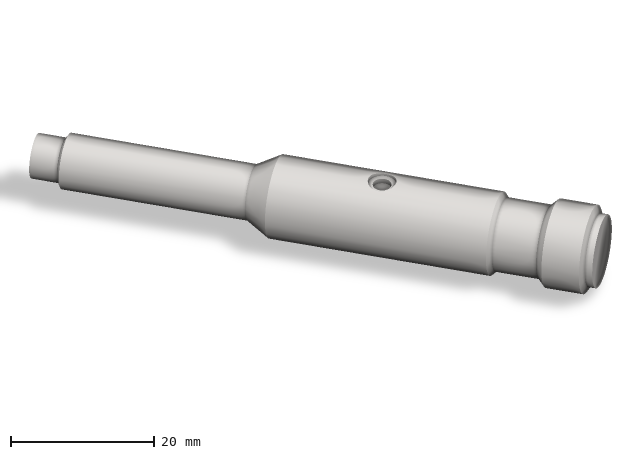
import cadquery as cq

length = 82.0
nose_diameter = 6.5
stem_diameter = 8.0
body_diameter = 12.0
neck_diameter = 10.6
head_diameter = 12.7
end_diameter = 10.5

nose_end = 4.0
stem_start = 4.5
stem_end = 31.4
body_start = 34.85
body_end = 66.8
neck_start = 67.5
neck_end = 73.9
head_start = 74.95
head_end = 80.4
end_start = 80.9

hole_x = 50.2
counterbore_diameter = 4.0
counterbore_depth = 0.7
hole_diameter = 2.6
hole_depth = 1.5


def make_shaft():
    """Revolve the stepped outline around the X axis."""
    steps = [
        (0, nose_diameter),
        (nose_end, nose_diameter),
        (stem_start, stem_diameter),
        (stem_end, stem_diameter),
        (body_start, body_diameter),
        (body_end, body_diameter),
        (neck_start, neck_diameter),
        (neck_end, neck_diameter),
        (head_start, head_diameter),
        (head_end, head_diameter),
        (end_start, end_diameter),
        (length, end_diameter),
    ]
    outline = cq.Workplane("XY").moveTo(0, 0)
    for x, diameter in steps:
        outline = outline.lineTo(x, diameter / 2)
    outline = outline.lineTo(length, 0).close()
    return outline.revolve(360, (0, 0, 0), (1, 0, 0))


def top_cut(diameter, depth):
    """Cylinder reaching down into the body from its highest line."""
    top = cq.Workplane("XY").workplane(offset=body_diameter / 2)
    return top.center(hole_x, 0).circle(diameter / 2).extrude(-depth)


shaft = make_shaft()
counterbore = top_cut(counterbore_diameter, counterbore_depth)
hole = top_cut(hole_diameter, hole_depth)
result = shaft.cut(counterbore).cut(hole)